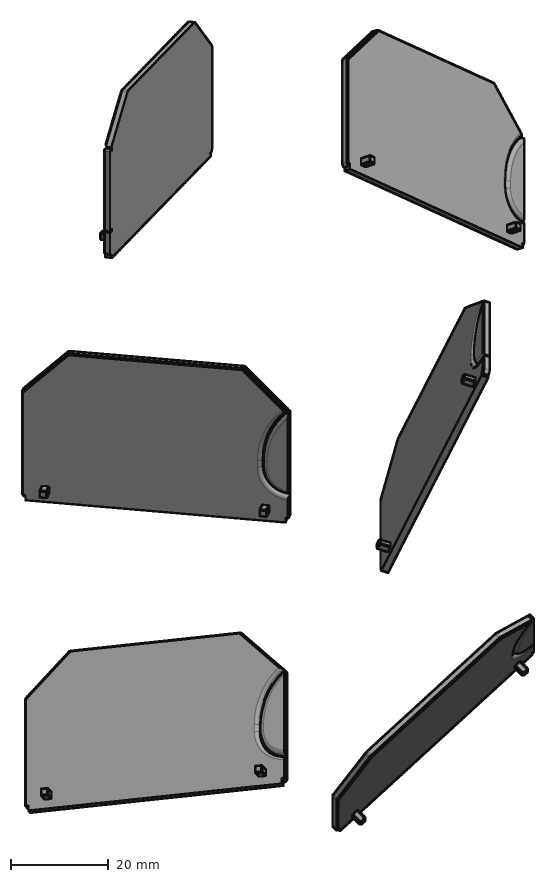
import cadquery as cq
import math

length = 56.0
height = 34.0
thickness = 1.5
half_length = length / 2
top_half_length = 18.35
shoulder_height = 24.5
edge_chamfer = 0.3
corner_radius = 0.7

foot_setback = 0.8
foot_height = 0.7
foot_overlap = 1.1

pin_length = 2.45
pin_size = 1.6
pin_chamfer = 0.2
pin_spacing = 46.05
pin_height = 2.8

groove_y = -22.35
straight_bottom = 12.0
straight_top = 13.5
lower_radius = 5.8
upper_radius = 15.2
upper_sweep_angle = 58.0
runout = 2.25
slit_width = 0.3
lip_radius = 0.87
floor_thickness = 0.3
open_end_length = 1.0
clearance = 0.55


def make_plate():
    """Plate with sloped shoulders, rounded corners and a chamfered -X face."""
    body = (
        cq.Workplane("YZ")
        .moveTo(-half_length, foot_height)
        .lineTo(half_length, foot_height)
        .lineTo(half_length, shoulder_height)
        .lineTo(top_half_length, height)
        .lineTo(-top_half_length, height)
        .lineTo(-half_length, shoulder_height)
        .close()
        .extrude(thickness)
    )
    above_foot = cq.selectors.BoxSelector(
        (-clearance, -length, foot_height + clearance), (length, length, length)
    )
    body = body.edges("|X").edges(above_foot).fillet(corner_radius)
    body = body.edges("|X").edges("<Z").fillet(foot_setback)
    body = body.faces("<X").edges().chamfer(edge_chamfer)
    foot = cq.Workplane("XY").box(
        thickness, length - 2 * foot_setback, foot_height + foot_overlap, centered=(False, True, False)
    )
    return body.union(foot)


def make_pin(y):
    """Square pin with bevelled long edges and tip."""
    pin = cq.Workplane("XY").box(pin_length, pin_size, pin_size)
    pin = pin.edges("|X").chamfer(pin_chamfer)
    pin = pin.faces("<X").edges().chamfer(pin_chamfer)
    return pin.translate((-pin_length / 2, y, pin_height))


def groove_path():
    """Lower arc, short straight and larger upper arc, running past the plate edge."""
    lower_center_y = groove_y - lower_radius
    low_z = straight_bottom - lower_radius
    diagonal = math.sqrt(0.5)
    upper_center_y = groove_y - upper_radius

    def upper_point(angle_degrees):
        angle = math.radians(angle_degrees)
        return (
            upper_center_y + upper_radius * math.cos(angle),
            straight_top + upper_radius * math.sin(angle),
        )

    return (
        cq.Workplane("YZ")
        .moveTo(lower_center_y - runout, low_z)
        .lineTo(lower_center_y, low_z)
        .threePointArc(
            (lower_center_y + lower_radius * diagonal, straight_bottom - lower_radius * diagonal),
            (groove_y, straight_bottom),
        )
        .lineTo(groove_y, straight_top)
        .threePointArc(upper_point(upper_sweep_angle / 2), upper_point(upper_sweep_angle))
    )


def groove_section():
    """Workplane across the start of the groove path: local X is depth, local Y is width."""
    start = (0, groove_y - lower_radius - runout, straight_bottom - lower_radius)
    return cq.Workplane(cq.Plane(origin=start, xDir=(1, 0, 0), normal=(0, 1, 0)))


def make_groove():
    """Slit with rounded lips, leaving a thin floor."""
    half_slit = slit_width / 2
    half_mouth = half_slit + lip_radius
    depth = thickness - floor_thickness
    arc_depth = lip_radius * (1 - math.sqrt(0.5))
    arc_width = half_mouth - lip_radius * math.sqrt(0.5)
    section = (
        groove_section()
        .moveTo(-clearance, -half_mouth)
        .lineTo(0, -half_mouth)
        .threePointArc((arc_depth, -arc_width), (lip_radius, -half_slit))
        .lineTo(depth, -half_slit)
        .lineTo(depth, half_slit)
        .lineTo(lip_radius, half_slit)
        .threePointArc((arc_depth, arc_width), (0, half_mouth))
        .lineTo(-clearance, half_mouth)
        .close()
    )
    return section.sweep(groove_path())


def make_open_ends():
    """Full-depth slit, kept only beside the end edge of the plate."""
    slit = (
        groove_section()
        .center(thickness / 2, 0)
        .rect(thickness + 2 * clearance, slit_width)
        .sweep(groove_path())
    )
    end_zone = cq.Workplane("XY").box(length, length, length).translate(
        (0, open_end_length - length, height / 2)
    )
    return slit.intersect(end_zone)


result = make_plate().cut(make_groove()).cut(make_open_ends())
for pin_y in (-pin_spacing / 2, pin_spacing / 2):
    result = result.union(make_pin(pin_y))